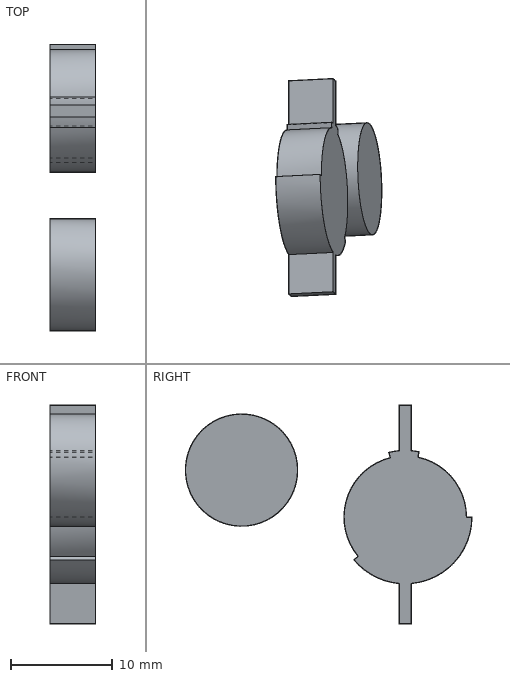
import cadquery as cq
import math

thickness = 4.5
total_width = 28.35

core_radius = 6.07
rim_radius = 6.6
keyed_disc_y = total_width / 2 - rim_radius
keyed_disc_z = -0.25
blade_height = 21.63
blade_width = 1.22

upper_rim_angles = (78.0, 104.3)
lower_rim_angles = (-140.3, 0.0)

plain_disc_radius = 5.55
plain_disc_y = plain_disc_radius - total_width / 2
plain_disc_z = 4.4


def make_disc(radius, y, z):
    """Solid disc spanning the thickness, with its axis along X."""
    return cq.Workplane("YZ").center(y, z).circle(radius).extrude(thickness)


def make_rim_sector(start_angle, end_angle):
    """Pie-shaped sector whose outer arc stands proud of the core."""
    def rim_point(angle):
        radians = math.radians(angle)
        return (rim_radius * math.cos(radians), rim_radius * math.sin(radians))

    middle_angle = (start_angle + end_angle) / 2
    return (
        cq.Workplane("YZ")
        .center(keyed_disc_y, keyed_disc_z)
        .lineTo(*rim_point(start_angle))
        .threePointArc(rim_point(middle_angle), rim_point(end_angle))
        .close()
        .extrude(thickness)
    )


def make_blade():
    """Flat upright bar whose ends project above and below the disc."""
    return (
        cq.Workplane("YZ")
        .center(keyed_disc_y, 0)
        .rect(blade_width, blade_height)
        .extrude(thickness)
    )


def make_keyed_disc():
    """Core, rim sectors and blade joined into one solid."""
    body = make_disc(core_radius, keyed_disc_y, keyed_disc_z)
    for start_angle, end_angle in (upper_rim_angles, lower_rim_angles):
        body = body.union(make_rim_sector(start_angle, end_angle))
    return body.union(make_blade())


keyed_disc = make_keyed_disc()
plain_disc = make_disc(plain_disc_radius, plain_disc_y, plain_disc_z)

result = cq.Compound.makeCompound([keyed_disc.val(), plain_disc.val()])